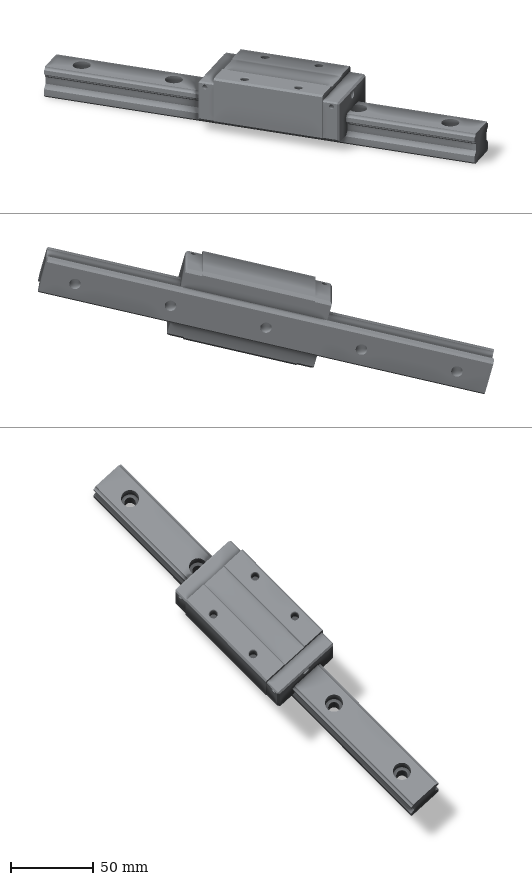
import cadquery as cq

RAIL_LENGTH = 280.0
RAIL_WIDTH = 23.0
RAIL_HEIGHT = 20.0
COVE_RADIUS = 1.82
FOOT_CHAMFER = 1.25
NECK_WIDTH = 17.5
NECK_BOTTOM = 8.0
LOWER_COVE_Z = 13.5

RAIL_HOLE_DIAMETER = 7.0
RAIL_BORE_DIAMETER = 11.0
RAIL_BORE_DEPTH = 9.0
RAIL_HOLE_COUNT = 5
RAIL_HOLE_PITCH = 60.0

CARRIAGE_X = 10.5
CARRIAGE_LENGTH = 91.8
CARRIAGE_BOTTOM = 6.0
CARRIAGE_BOTTOM_CHAMFER = 2.0
BLOCK_LENGTH = 70.8
BLOCK_WIDTH = 48.0
BLOCK_TOP = 36.0
BLOCK_TOP_CHAMFER = 1.0

RELIEF_FLOOR_WIDTH = 16.2
RELIEF_DEPTH = 0.8
RELIEF_SLOPE = 0.5

MOUNT_HOLE_DIAMETER = 5.0
MOUNT_MOUTH_DIAMETER = 6.0
MOUNT_MOUTH_ANGLE = 90
MOUNT_HOLE_SPACING = 35.0
MOUNT_HOLE_DEPTH = 8.5

CAP_WIDTH = 46.8
CAP_TOP = 32.5
CAP_TOP_CHAMFER = 0.8
CAP_END_CHAMFER = 1.0

END_HOLE_DIAMETER = 5.0
END_HOLE_Z = 28.5
SIDE_HOLE_DIAMETER = 3.0
SIDE_HOLE_Z = 29.5
SIDE_HOLE_INSET = 4.8
LUBE_HOLE_DEPTH = 4.2

def rail_bar():
    half_width = RAIL_WIDTH / 2
    half_neck = NECK_WIDTH / 2
    foot_slope = half_width - half_neck
    neck_slope = half_width - COVE_RADIUS - half_neck
    right_side = [
        (half_width - FOOT_CHAMFER, 0),
        (half_width, FOOT_CHAMFER),
        (half_width, NECK_BOTTOM - foot_slope),
        (half_neck, NECK_BOTTOM),
        (half_neck, LOWER_COVE_Z - neck_slope),
        (half_width - COVE_RADIUS, LOWER_COVE_Z),
        (half_width, LOWER_COVE_Z),
        (half_width, RAIL_HEIGHT),
    ]
    left_side = [(-y, z) for y, z in reversed(right_side)]
    profile = cq.Workplane("YZ").polyline(right_side + left_side).close()
    bar = profile.extrude(RAIL_LENGTH / 2, both=True)
    cove_centres = [(y, z) for y in (-half_width, half_width) for z in (LOWER_COVE_Z, RAIL_HEIGHT)]
    coves = (
        cq.Workplane("YZ")
        .pushPoints(cove_centres)
        .circle(COVE_RADIUS)
        .extrude(RAIL_LENGTH / 2, both=True)
    )
    return bar.cut(coves)

def make_rail():
    return (
        rail_bar()
        .faces(">Z")
        .workplane(origin=(0, 0, RAIL_HEIGHT))
        .rarray(RAIL_HOLE_PITCH, 2.8, RAIL_HOLE_COUNT, 1)
        .cboreHole(RAIL_HOLE_DIAMETER, RAIL_BORE_DIAMETER, RAIL_BORE_DEPTH)
    )

def standing_box(length, width, top):
    """Box centred on X = 0, Y = 0 that reaches from the carriage underside up to top."""
    height = top - CARRIAGE_BOTTOM
    return (
        cq.Workplane("XY")
        .workplane(offset=CARRIAGE_BOTTOM)
        .box(length, width, height, centered=(True, True, False))
    )

def make_block():
    block = standing_box(BLOCK_LENGTH, BLOCK_WIDTH, BLOCK_TOP)
    block = block.faces(">Z").edges("|X").chamfer(BLOCK_TOP_CHAMFER)
    block = block.faces("<Z").edges("|X").chamfer(CARRIAGE_BOTTOM_CHAMFER)
    half_floor = RELIEF_FLOOR_WIDTH / 2
    half_mouth = half_floor + RELIEF_SLOPE
    relief_floor = BLOCK_TOP - RELIEF_DEPTH
    relief = (
        cq.Workplane("YZ")
        .moveTo(-half_floor, relief_floor)
        .lineTo(half_floor, relief_floor)
        .lineTo(half_mouth, BLOCK_TOP)
        .lineTo(-half_mouth, BLOCK_TOP)
        .close()
        .extrude(BLOCK_LENGTH / 2, both=True)
    )
    return (
        block.cut(relief)
        .faces(">Z")
        .workplane(origin=(0, 0, BLOCK_TOP))
        .rarray(MOUNT_HOLE_SPACING, MOUNT_HOLE_SPACING, 2, 2)
        .cskHole(MOUNT_HOLE_DIAMETER, MOUNT_MOUTH_DIAMETER, MOUNT_MOUTH_ANGLE, MOUNT_HOLE_DEPTH)
    )

def make_caps():
    """Both end caps as one long box, whose middle is taken up by the block."""
    caps = standing_box(CARRIAGE_LENGTH, CAP_WIDTH, CAP_TOP)
    caps = caps.faces(">Z").edges("|X").chamfer(CAP_TOP_CHAMFER)
    for end in ("<X", ">X"):
        caps = caps.faces(end).edges("not <Z").chamfer(CAP_END_CHAMFER)
    caps = caps.faces("<Z").edges("|X").chamfer(CARRIAGE_BOTTOM_CHAMFER)
    middle = standing_box(BLOCK_LENGTH, BLOCK_WIDTH, CAP_TOP)
    return caps.cut(middle)

def lube_holes():
    """Cutters for one hole in each cap end and one in each cap side."""
    cutters = cq.Workplane("XY")
    for end in (-1, 1):
        end_hole = cq.Solid.makeCylinder(
            END_HOLE_DIAMETER / 2,
            LUBE_HOLE_DEPTH,
            cq.Vector(end * CARRIAGE_LENGTH / 2, 0, END_HOLE_Z),
            cq.Vector(-end, 0, 0),
        )
        cutters = cutters.add(end_hole)
        for side in (-1, 1):
            side_x = end * (CARRIAGE_LENGTH / 2 - SIDE_HOLE_INSET)
            side_hole = cq.Solid.makeCylinder(
                SIDE_HOLE_DIAMETER / 2,
                LUBE_HOLE_DEPTH,
                cq.Vector(side_x, side * CAP_WIDTH / 2, SIDE_HOLE_Z),
                cq.Vector(0, -side, 0),
            )
            cutters = cutters.add(side_hole)
    return cutters.combine()

def make_carriage():
    carriage = make_block().union(make_caps()).cut(lube_holes())
    return carriage.cut(rail_bar()).translate((CARRIAGE_X, 0, 0))

rail = make_rail()
carriage = make_carriage()
result = cq.Compound.makeCompound([rail.val(), *carriage.vals()])